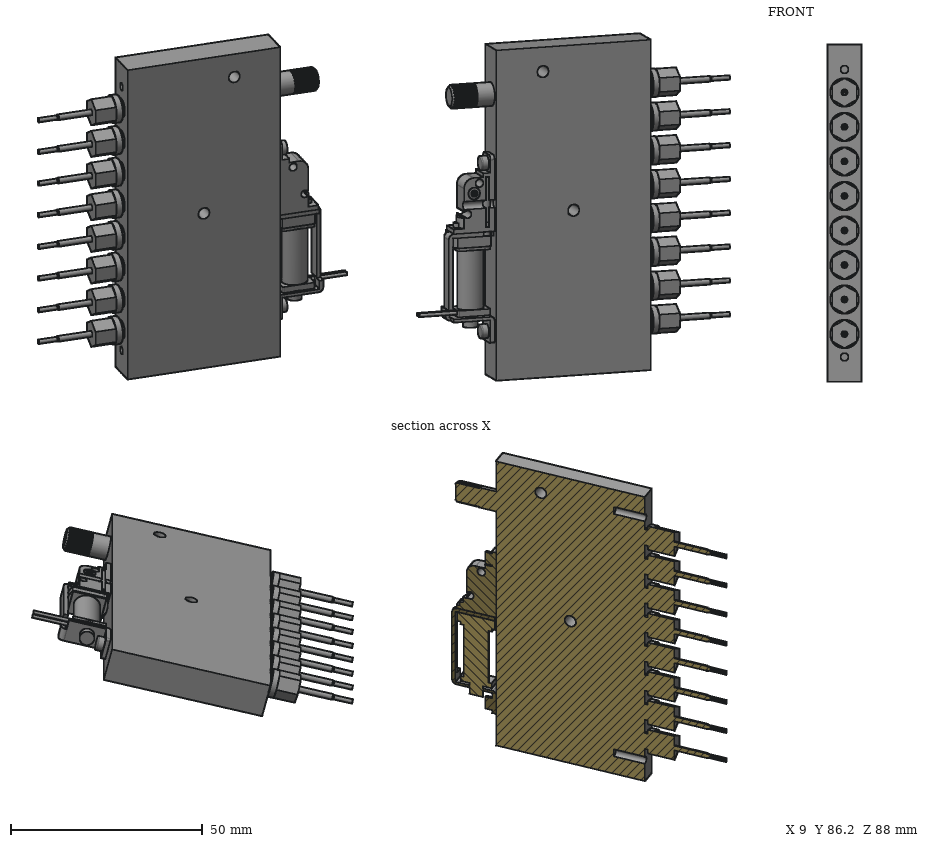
import cadquery as cq

PLATE_WIDTH = 9.0
PLATE_DEPTH = 42.6
PLATE_HEIGHT = 88.0
CROSS_HOLE_DIA = 3.1
UPPER_HOLE_Y = 29.7
END_HOLE_INSET = 6.5
FRONT_HOLE_DIA = 2.0
FRONT_HOLE_DEPTH = 8.8

FITTING_COUNT = 8
FIRST_FITTING_Z = 12.5
LAST_FITTING_Z = 75.5
NECK_DIA = 5.0
NUT_DIA = 7.5
WASHER_START = 0.8
WASHER_END = 2.7
WASHER_CHAMFER = 0.3
HEX_END = 8.45
TUBE_DIA = 1.6
TUBE_END = 17.7
SHOULDER_DIA = 1.3
SHOULDER_END = 18.1
TIP_DIA = 1.2
TIP_END = 23.1
BORE_DIA = 0.3
BORE_DEPTH = 4.4

PLUG_DIA = 6.3
PLUG_END_DIA = 5.0
PLUG_LENGTH = 11.5
PLUG_PLAIN_LENGTH = 4.7
PLUG_CHAMFER_LENGTH = 0.7
GROOVE_COUNT = 24
GROOVE_SIDE = 0.35
GROOVE_TILT = 45

VALVE_WIDTH = 6.0
SHEET = 1.1
AXIS_OUT = 5.6
SCREW_HEAD_DIA = 3.8
SCREW_HEAD_OUT = 3.1
SCREW_EDGE = 0.3
FLANGE_CORNER = 1.1

HEAD_FLANGE_TOP = 59.75
HEAD_SCREW_Z = 57.3
HEAD_STEP_TOP = 55.2
FIN_TOP = 54.1
FIN_OUT = 8.4
FIN_ROUND = 2.6
PIVOT_OUT = 4.1
PIVOT_Z = 52.6
PIVOT_DIA = 2.1
PORT_Z = 50.0
PORT_RIM_DIA = 3.2
PORT_RIM_PROUD = 0.2
PORT_BOSS_DIA = 1.7
PORT_BOSS_PROUD = 0.35
PORT_BORE_DIA = 1.0
PORT_BORE_DEPTH = 0.9
CHANNEL_Z = 46.9
CHANNEL_DIA = 2.1
KEYHOLE_OUT = 7.4
KEYHOLE_Z = 44.5
KEYHOLE_DIA = 2.0
KEYHOLE_NECK = 1.4
DRUM_DIA = 7.5
DRUM_TOP = 43.5
BASE_TOP = 40.7
BASE_OUT = 11.2
ROD_DIA = 2.1
ROD_OUT = 1.85
ROD_BOTTOM = 42.0
ROD_INSET = 0.3
ROD_SLOT_WIDTH = 0.9
ROD_SLOT_DEPTH = 0.5
BOLT_DIA = 2.0
BOLT_OUT = 9.3
BOLT_HEIGHT = 1.1

FRAME_TOP = 39.5
FRAME_OUT = 12.6
FRAME_GAP = 0.3
FRAME_BEND = 1.4
FOOT_TOP = 16.8
FOOT_SHEET = 0.9
FOOT_BOTTOM = 9.8
FOOT_BEND = 0.9
FOOT_CORNER = 0.5
FOOT_SCREW_Z = 12.5
LEG_INNER_X = 0.9
WINDOW_TOP = 19.2
WINDOW_OUT = 11.2
WINDOW_INNER_X = -0.35

COLLAR_DIA = 10.9
COLLAR_HEIGHT = 2.7
BOBBIN_LENGTH = 9.0
BOBBIN_WIDTH = 6.3
BOBBIN_CORNER = 0.35
UPPER_BOBBIN_HEIGHT = 0.8
LOWER_BOBBIN_TOP = 19.0
LOWER_BOBBIN_BOTTOM = 17.3
COIL_LENGTH = 7.0
COIL_WIDTH = 6.0
CORE_DIA = 3.9
CORE_BOTTOM = 14.0
LEAD_DIA = 1.0
LEAD_PLACES = [-0.9, -2.0]
LEAD_Z = 18.3
LEAD_OUT = 20.5

SIDE_X = -VALVE_WIDTH / 2
AXIS_Y = PLATE_DEPTH + AXIS_OUT
FRAME_UNDERSIDE = FRAME_TOP - SHEET
ROD_X = SIDE_X + ROD_INSET + ROD_DIA / 2
ROD_Y = PLATE_DEPTH + ROD_OUT
FITTING_PITCH = (LAST_FITTING_Z - FIRST_FITTING_Z) / (FITTING_COUNT - 1)


def box(x0, x1, y0, y1, z0, z1):
    """Box between two corners."""
    return cq.Workplane("XY").box(x1 - x0, y1 - y0, z1 - z0, centered=False).translate((x0, y0, z0))


def valve_box(out0, out1, z0, z1):
    """Box of full valve width between two distances from the plate back face."""
    return box(SIDE_X, -SIDE_X, PLATE_DEPTH + out0, PLATE_DEPTH + out1, z0, z1)


def rod_x(dia, x0, x1, y, z):
    """Cylinder along X."""
    return cq.Workplane("YZ", origin=(x0, y, z)).circle(dia / 2).extrude(x1 - x0)


def rod_y(dia, y0, y1, x, z):
    """Cylinder along Y."""
    return cq.Workplane("XZ", origin=(x, y0, z)).circle(dia / 2).extrude(y0 - y1)


def rod_z(dia, z0, z1, x, y):
    """Cylinder along Z."""
    return cq.Workplane("XY", origin=(x, y, z0)).circle(dia / 2).extrude(z1 - z0)


def make_fitting(z):
    """Neck, washer, hex nut and stepped tube on the front face."""
    neck = rod_y(NECK_DIA, 0, -WASHER_END, 0, z)
    washer = rod_y(NUT_DIA, -WASHER_START, -WASHER_END, 0, z).faces(">Y").edges().chamfer(WASHER_CHAMFER)
    hex_nut = (
        cq.Workplane("XZ", origin=(0, -WASHER_END, z))
        .transformed(rotate=(0, 0, 90))
        .polygon(6, NUT_DIA)
        .extrude(HEX_END - WASHER_END)
    )
    tube = (
        cq.Workplane("XY")
        .polyline([
            (0, -HEX_END),
            (TUBE_DIA / 2, -HEX_END),
            (TUBE_DIA / 2, -TUBE_END),
            (SHOULDER_DIA / 2, -TUBE_END),
            (SHOULDER_DIA / 2, -SHOULDER_END),
            (TIP_DIA / 2, -SHOULDER_END),
            (TIP_DIA / 2, -TIP_END),
            (0, -TIP_END),
        ])
        .close()
        .revolve(360, (0, 0, 0), (0, 1, 0))
        .translate((0, 0, z))
    )
    bore = rod_y(BORE_DIA, -TIP_END, BORE_DEPTH - TIP_END, 0, z)
    return neck.union(washer).union(hex_nut).union(tube).cut(bore)


def make_plug(z):
    """Round plug with a chamfered end and lengthwise knurl grooves."""
    radius = PLUG_DIA / 2
    plug = (
        cq.Workplane("XY")
        .polyline([
            (0, 0),
            (radius, 0),
            (radius, PLUG_LENGTH - PLUG_CHAMFER_LENGTH),
            (PLUG_END_DIA / 2, PLUG_LENGTH),
            (0, PLUG_LENGTH),
        ])
        .close()
        .revolve(360, (0, 0, 0), (0, 1, 0))
    )
    half = GROOVE_SIDE / 2
    groove = box(-half, half, PLUG_PLAIN_LENGTH, PLUG_LENGTH, -half, half)
    groove = groove.rotate((0, 0, 0), (0, 1, 0), GROOVE_TILT).translate((0, 0, radius))
    for i in range(GROOVE_COUNT):
        plug = plug.cut(groove.rotate((0, 0, 0), (0, 1, 0), i * 360 / GROOVE_COUNT))
    return plug.translate((0, PLATE_DEPTH, z))


def make_manifold():
    """Drilled plate with its fittings and plug."""
    half = PLATE_WIDTH / 2
    upper_z = PLATE_HEIGHT - END_HOLE_INSET
    manifold = box(-half, half, 0, PLATE_DEPTH, 0, PLATE_HEIGHT)
    for y, z in [(UPPER_HOLE_Y, upper_z), (PLATE_DEPTH / 2, PLATE_HEIGHT / 2)]:
        manifold = manifold.cut(rod_x(CROSS_HOLE_DIA, -half, half, y, z))
    for z in [END_HOLE_INSET, upper_z]:
        manifold = manifold.cut(rod_y(FRONT_HOLE_DIA, 0, FRONT_HOLE_DEPTH, 0, z))
    for i in range(FITTING_COUNT):
        manifold = manifold.union(make_fitting(FIRST_FITTING_Z + i * FITTING_PITCH))
    return manifold.union(make_plug(LAST_FITTING_Z))


def make_screw_head(z):
    """Screw head seated on a mounting flange."""
    head = rod_y(SCREW_HEAD_DIA, PLATE_DEPTH + SHEET, PLATE_DEPTH + SCREW_HEAD_OUT, 0, z)
    return head.faces(">Y").edges().fillet(SCREW_EDGE)


def make_head():
    """Valve head: mounting flange, fin, drum, base plate and pivot rod."""
    flange = valve_box(0, SHEET, BASE_TOP, HEAD_FLANGE_TOP)
    flange = flange.edges("|Y and >Z").fillet(FLANGE_CORNER)
    step = valve_box(0, SCREW_HEAD_OUT, BASE_TOP, HEAD_STEP_TOP)
    fin = valve_box(0, FIN_OUT, BASE_TOP, FIN_TOP).edges("|X and >Y and >Z").fillet(FIN_ROUND)
    drum = rod_z(DRUM_DIA, BASE_TOP, DRUM_TOP, 0, AXIS_Y)
    drum = drum.intersect(valve_box(0, BASE_OUT, BASE_TOP, DRUM_TOP))
    base = valve_box(0, BASE_OUT, FRAME_TOP, BASE_TOP)
    bolt = rod_z(BOLT_DIA, BASE_TOP, BASE_TOP + BOLT_HEIGHT, 0, PLATE_DEPTH + BOLT_OUT)
    head = flange.union(step).union(fin).union(drum)

    pivot_hole = rod_x(PIVOT_DIA, SIDE_X, -SIDE_X, PLATE_DEPTH + PIVOT_OUT, PIVOT_Z)
    channel = rod_y(CHANNEL_DIA, PLATE_DEPTH, PLATE_DEPTH + FIN_OUT, SIDE_X, CHANNEL_Z)
    keyhole = rod_x(KEYHOLE_DIA, SIDE_X, -SIDE_X, PLATE_DEPTH + KEYHOLE_OUT, KEYHOLE_Z)
    neck = valve_box(KEYHOLE_OUT, FIN_OUT, KEYHOLE_Z - KEYHOLE_NECK / 2, KEYHOLE_Z + KEYHOLE_NECK / 2)
    half_slot = ROD_SLOT_WIDTH / 2
    rod_slot = box(SIDE_X, SIDE_X + ROD_SLOT_DEPTH, ROD_Y - half_slot, ROD_Y + half_slot, BASE_TOP, FIN_TOP)
    for cutter in [pivot_hole, channel, keyhole, neck, rod_slot]:
        head = head.cut(cutter)

    rod = rod_z(ROD_DIA, ROD_BOTTOM, FIN_TOP, ROD_X, ROD_Y)
    rod_end = rod_z(ROD_DIA, FRAME_UNDERSIDE, FRAME_TOP, ROD_X, ROD_Y)
    head = head.union(base).union(bolt).union(rod).union(rod_end).union(make_screw_head(HEAD_SCREW_Z))

    rim = rod_x(PORT_RIM_DIA, SIDE_X - PORT_RIM_PROUD, SIDE_X, AXIS_Y, PORT_Z)
    boss = rod_x(PORT_BOSS_DIA, SIDE_X - PORT_BOSS_PROUD, SIDE_X, AXIS_Y, PORT_Z)
    port_bore = rod_x(PORT_BORE_DIA, SIDE_X - PORT_BOSS_PROUD, SIDE_X + PORT_BORE_DEPTH, AXIS_Y, PORT_Z)
    return head.union(rim).union(boss).cut(port_bore)


def make_frame():
    """Bent sheet frame around the coil, with its mounting foot and screw head."""
    shell = valve_box(0, FRAME_OUT, FOOT_TOP - FOOT_SHEET, FRAME_TOP)
    shell = shell.edges("|X and >Y").fillet(FRAME_BEND)
    shell = shell.cut(valve_box(0, FRAME_OUT - SHEET, FOOT_TOP, FRAME_UNDERSIDE))
    shell = shell.cut(valve_box(0, FRAME_GAP, FRAME_UNDERSIDE, FRAME_TOP))
    shell = shell.cut(valve_box(0, SHEET, FOOT_TOP - FOOT_SHEET, FOOT_TOP))
    foot = valve_box(0, SHEET, FOOT_BOTTOM, FOOT_TOP)
    foot = foot.edges("|X and <Y and >Z").fillet(FOOT_BEND)
    foot = foot.edges("|Y and <Z").fillet(FOOT_CORNER)
    frame = shell.union(foot)

    leg_inside = PLATE_DEPTH + FRAME_OUT - SHEET
    leg_outside = PLATE_DEPTH + FRAME_OUT
    window = box(SIDE_X, WINDOW_INNER_X, PLATE_DEPTH + WINDOW_OUT, leg_outside, FOOT_BOTTOM, WINDOW_TOP)
    relief = box(LEG_INNER_X, -SIDE_X, leg_inside, leg_outside, WINDOW_TOP, FRAME_TOP)
    core_hole = rod_z(CORE_DIA, CORE_BOTTOM, FOOT_TOP, 0, AXIS_Y)
    half_rod = ROD_DIA / 2
    rod_hole = rod_z(ROD_DIA, FRAME_UNDERSIDE, FRAME_TOP, ROD_X, ROD_Y)
    rod_notch = box(SIDE_X, ROD_X, ROD_Y - half_rod, ROD_Y + half_rod, FRAME_UNDERSIDE, FRAME_TOP)
    for cutter in [window, relief, core_hole, rod_hole, rod_notch]:
        frame = frame.cut(cutter)
    return frame.union(make_screw_head(FOOT_SCREW_Z))


def make_bobbin_flange(z0, z1):
    """Rectangular bobbin flange with rounded upright corners."""
    half_width = BOBBIN_WIDTH / 2
    half_length = BOBBIN_LENGTH / 2
    flange = box(-half_width, half_width, AXIS_Y - half_length, AXIS_Y + half_length, z0, z1)
    return flange.edges("|Z").fillet(BOBBIN_CORNER)


def make_coil():
    """Coil with collar, bobbin flanges, core and two leads."""
    collar_bottom = FRAME_UNDERSIDE - COLLAR_HEIGHT
    collar = rod_z(COLLAR_DIA, collar_bottom, FRAME_UNDERSIDE, 0, AXIS_Y)
    collar = collar.intersect(valve_box(0, FRAME_OUT, collar_bottom, FRAME_UNDERSIDE))
    winding = (
        cq.Workplane("XY", origin=(0, AXIS_Y, LOWER_BOBBIN_TOP))
        .ellipse(COIL_WIDTH / 2, COIL_LENGTH / 2)
        .extrude(collar_bottom - LOWER_BOBBIN_TOP)
    )
    coil = (
        collar.union(make_bobbin_flange(collar_bottom - UPPER_BOBBIN_HEIGHT, collar_bottom))
        .union(winding)
        .union(make_bobbin_flange(LOWER_BOBBIN_BOTTOM, LOWER_BOBBIN_TOP))
        .union(rod_z(CORE_DIA, CORE_BOTTOM, LOWER_BOBBIN_BOTTOM, 0, AXIS_Y))
    )
    for x in LEAD_PLACES:
        coil = coil.union(rod_y(LEAD_DIA, AXIS_Y, PLATE_DEPTH + LEAD_OUT, x, LEAD_Z))
    return coil


manifold = make_manifold()
valve_head = make_head()
frame = make_frame()
coil = make_coil()

result = cq.Compound.makeCompound([manifold.val(), valve_head.val(), frame.val(), coil.val()])